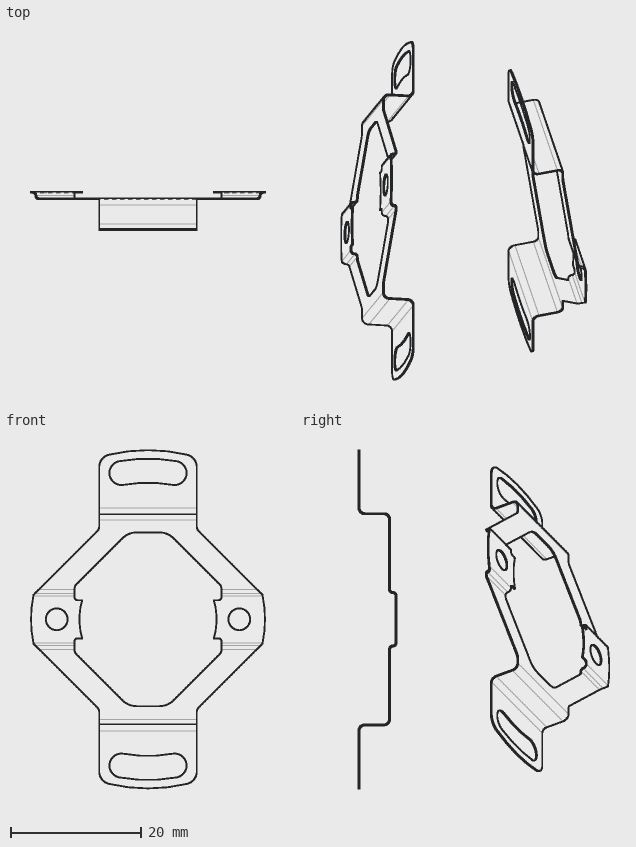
import cadquery as cq
import math

sheet = 0.2
tab_step = 4.7
pad_step = 1.0
tab_level = sheet / 2
frame_level = tab_level + tab_step
pad_level = frame_level + pad_step

tab_bend = 0.9
pad_bend = pad_step / 2
tab_wall_z = 16.2
pad_wall_z = 4.1

tip_radius = 25.96
side_radius = 17.96
tab_half_width = 7.5
outer_diagonal = 21.3
tab_corner_radius = 2.0
shoulder_radius = 1.0

opening_half_height = 13.3
opening_half_width = 11.25
inner_diagonal = 16.33
opening_end_radius = 3.0
opening_side_radius = 1.0

lip_radius = 10.5
lip_half_height = 2.95
lip_root_radius = 0.4

hole_diameter = 3.3
hole_x = 14.0
slot_path_radius = 22.8
slot_width = 3.65
slot_half_angle = math.radians(10.3)

corner_tolerance = 0.01
cut_reach = 20.0


def through_y(outline):
    """Extrude an outline on the XZ plane both ways along Y."""
    return outline.extrude(cut_reach, both=True)


def disc(radius):
    return through_y(cq.Workplane("XZ").circle(radius))


def block(half_width, half_height):
    return through_y(cq.Workplane("XZ").rect(2 * half_width, 2 * half_height))


def diamond(diagonal):
    """Square prism standing on a corner, bounded by |x| + |z| = diagonal."""
    points = [(diagonal, 0), (0, diagonal), (-diagonal, 0), (0, -diagonal)]
    return through_y(cq.Workplane("XZ").polyline(points).close())


def round_corners(prism, x, z, radius):
    """Round the four edges along Y that pass through (+-x, +-z)."""
    def at_corner(edge):
        middle = edge.Center()
        offset = math.hypot(abs(middle.x) - x, abs(middle.z) - z)
        return offset < corner_tolerance

    return prism.edges("|Y").filter(at_corner).fillet(radius)


def folded_strip():
    """Full-width sheet bent along X, before its outline is cut."""
    path = (
        cq.Workplane("YZ")
        .moveTo(pad_level, 0)
        .lineTo(pad_level, pad_wall_z - pad_bend)
        .tangentArcPoint((pad_level - pad_bend, pad_wall_z), relative=False)
        .tangentArcPoint((frame_level, pad_wall_z + pad_bend), relative=False)
        .lineTo(frame_level, tab_wall_z - tab_bend)
        .tangentArcPoint((frame_level - tab_bend, tab_wall_z), relative=False)
        .lineTo(tab_level + tab_bend, tab_wall_z)
        .tangentArcPoint((tab_level, tab_wall_z + tab_bend), relative=False)
        .lineTo(tab_level, tip_radius)
    )
    half = (
        cq.Workplane("XY")
        .center(0, pad_level)
        .rect(2 * side_radius, sheet)
        .sweep(path)
    )
    return half.union(half.mirror("XY"), clean=True)


def outer_outline():
    """Diamond frame with two arc-ended tabs and two arc-sided pads."""
    tip_corner_z = math.sqrt(tip_radius**2 - tab_half_width**2)
    tabs = block(tab_half_width, tip_radius).intersect(disc(tip_radius))
    tabs = round_corners(tabs, tab_half_width, tip_corner_z, tab_corner_radius)

    shoulder_z = outer_diagonal - tab_half_width
    frame = diamond(outer_diagonal).intersect(disc(side_radius))
    frame = frame.intersect(block(side_radius, shoulder_z))
    return round_corners(tabs.union(frame), tab_half_width, shoulder_z, shoulder_radius)


def opening():
    """Eight-sided central opening, less the lips that reach in from the pads."""
    end_x = inner_diagonal - opening_half_height
    side_z = inner_diagonal - opening_half_width
    window = diamond(inner_diagonal).intersect(block(opening_half_width, opening_half_height))
    window = round_corners(window, end_x, opening_half_height, opening_end_radius)
    window = round_corners(window, opening_half_width, side_z, opening_side_radius)

    lips = block(side_radius, lip_half_height).cut(disc(lip_radius))
    window = window.cut(lips)
    return round_corners(window, opening_half_width, lip_half_height, lip_root_radius)


def polar(radius, angle):
    """Point on XZ at an angle from the Z axis."""
    return (radius * math.sin(angle), radius * math.cos(angle))


def curved_slots():
    """Round-ended slots through both tabs, curved about the part's axis."""
    inner = slot_path_radius - slot_width / 2
    outer = slot_path_radius + slot_width / 2
    upper = through_y(
        cq.Workplane("XZ")
        .moveTo(*polar(outer, -slot_half_angle))
        .threePointArc(polar(outer, 0), polar(outer, slot_half_angle))
        .tangentArcPoint(polar(inner, slot_half_angle), relative=False)
        .threePointArc(polar(inner, 0), polar(inner, -slot_half_angle))
        .tangentArcPoint(polar(outer, -slot_half_angle), relative=False)
        .close()
    )
    return upper.union(upper.mirror("XY"))


def pad_holes():
    centres = [(-hole_x, 0), (hole_x, 0)]
    return through_y(cq.Workplane("XZ").pushPoints(centres).circle(hole_diameter / 2))


result = (
    folded_strip()
    .intersect(outer_outline())
    .cut(opening())
    .cut(curved_slots())
    .cut(pad_holes())
    .solids()
)